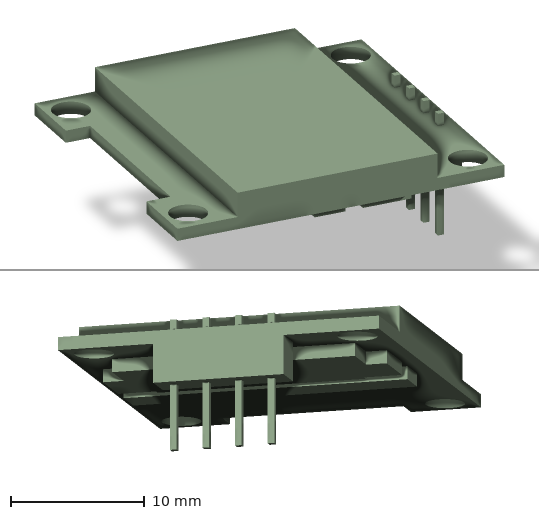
import cadquery as cq

board_width = 25.0
board_length = 27.0
board_thickness = 1.0
hole_diameter = 3.0
hole_side_inset = 2.25
hole_end_inset = 1.95
notch_width = 14.1
notch_depth = 2.0

display_length = 16.52
display_height = 2.0
display_back_inset = 5.5

pin_count = 4
pin_pitch = 2.55
pin_size = 0.5
pin_back_inset = 1.25
pin_rise = 1.0
overall_height = 11.0
header_width = pin_count * pin_pitch
header_length = 2.55
header_height = 3.0

component_height = 1.0
strip_width = 22.1
strip_length = 2.55
strip_back_inset = 12.45
rear_inset = 4.0
rear_length = 3.0
middle_length = 4.0
front_length = 0.45
middle_width = strip_width
rear_width = 18.9
front_width = 16.2


def block(width, length, height, back_inset, bottom):
    """Box centred in X whose rear face lies back_inset in front of the back edge."""
    box = cq.Workplane("XY").box(width, length, height, centered=(True, False, False))
    return box.translate((0, -back_inset - length, bottom))


def make_board():
    board = block(board_width, board_length, board_thickness, 0, 0)
    notch_inset = board_length - notch_depth
    board = board.cut(block(notch_width, notch_depth, board_thickness, notch_inset, 0))
    hole_x = board_width / 2 - hole_side_inset
    hole_ys = (-hole_end_inset, hole_end_inset - board_length)
    centers = [(x, y) for x in (-hole_x, hole_x) for y in hole_ys]
    holes = cq.Workplane("XY").pushPoints(centers).circle(hole_diameter / 2).extrude(board_thickness)
    return board.cut(holes)


def make_header():
    header = block(header_width, header_length, header_height, 0, -header_height)
    pin_top = board_thickness + pin_rise
    display_top = board_thickness + display_height
    pin_length = pin_top - (display_top - overall_height)
    pins = (
        cq.Workplane("XY", origin=(0, -pin_back_inset, pin_top))
        .rarray(pin_pitch, 0.27, pin_count, 1)
        .rect(pin_size, pin_size)
        .extrude(-pin_length)
    )
    return header.union(pins)


def make_components():
    middle_inset = rear_inset + rear_length
    front_inset = middle_inset + middle_length
    rows = (
        (rear_width, rear_length, rear_inset),
        (middle_width, middle_length, middle_inset),
        (front_width, front_length, front_inset),
        (strip_width, strip_length, strip_back_inset),
    )
    components = cq.Workplane("XY")
    for width, length, inset in rows:
        components = components.add(block(width, length, component_height, inset, -component_height))
    return components.combine()


display = block(board_width, display_length, display_height, display_back_inset, board_thickness)
result = make_board().union(display).union(make_header()).union(make_components())